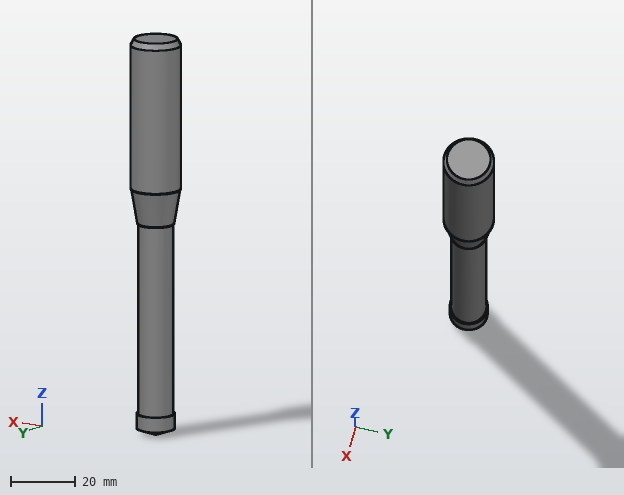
import cadquery as cq
import math

total_length = 127.2
shank_diameter = 15.9
chamfer_height = 2.0
chamfer_inset = 1.1

neck_diameter = 11.0
taper_bottom_z = 68.0
taper_top_z = 78.8
taper_bottom_diameter = 11.7
taper_top_diameter = 15.4
bevel_height = 0.4

head_diameter = 12.0
head_top_z = 6.9
point_angle = 140.0

shank_radius = shank_diameter / 2
neck_radius = neck_diameter / 2
head_radius = head_diameter / 2
point_height = head_radius / math.tan(math.radians(point_angle / 2))


def revolve_profile(points):
    """Turn a closed (radius, height) outline around the Z axis."""
    return cq.Workplane("XZ").polyline(points).close().revolve(360, (0, 0, 0), (0, 1, 0))


def make_cutting_head():
    """Short cylinder ending in a conical point."""
    return revolve_profile([
        (0, 0),
        (head_radius, point_height),
        (head_radius, head_top_z),
        (0, head_top_z),
    ])


def make_holder():
    """Neck, taper and chamfered shank, seated on the flat top of the head."""
    return revolve_profile([
        (0, head_top_z),
        (neck_radius, head_top_z),
        (neck_radius, taper_bottom_z - bevel_height),
        (taper_bottom_diameter / 2, taper_bottom_z),
        (taper_top_diameter / 2, taper_top_z),
        (shank_radius, taper_top_z + bevel_height),
        (shank_radius, total_length - chamfer_height),
        (shank_radius - chamfer_inset, total_length),
        (0, total_length),
    ])


cutting_head = make_cutting_head()
holder = make_holder()

result = cq.Compound.makeCompound([cutting_head.val(), holder.val()])